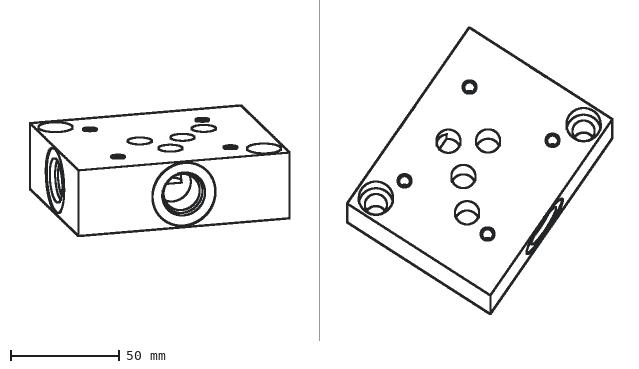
import cadquery as cq
import math

LENGTH_X = 79.5
LENGTH_Y = 101.6
HEIGHT = 31.7
MID_HEIGHT = HEIGHT / 2

MOUNT_X = 30.1
MOUNT_Y = 41.2
MOUNT_HOLE_DIAMETER = 10.3
COUNTERBORE_DIAMETER = 15.8
COUNTERBORE_DEPTH = 11.2

BOLT_RIGHT_X = 23.7
BOLT_PITCH_X = 46.0
BOLT_LEFT_X = BOLT_RIGHT_X - BOLT_PITCH_X
BOLT_PITCH_Y = 54.1
TAP_DIAMETER = 5.0
TAP_MOUTH_DIAMETER = 6.4
TAP_DEPTH = 15.2
DRILL_POINT_ANGLE = 118.0

FLOW_DIAMETER = 11.2
FLOW_DEPTH = MID_HEIGHT
PRESSURE_X = BOLT_RIGHT_X - 6.3
PRESSURE_Y = 0.0
WORK_X = BOLT_RIGHT_X - 21.4
WORK_Y = 10.3
TANK_X = BOLT_RIGHT_X - 32.5
TANK_Y = 23.8
FLOW_CENTRES = [
    (PRESSURE_X, PRESSURE_Y),
    (WORK_X, WORK_Y),
    (WORK_X, -WORK_Y),
    (TANK_X, TANK_Y),
]

SPOTFACE_DIAMETER = 30.3
SPOTFACE_DEPTH = 0.5
SEAT_MOUTH_DIAMETER = 20.5
SEAT_INNER_DIAMETER = 19.5
SEAT_END_DEPTH = 2.9
PORT_BORE_DIAMETER = 17.4
PORT_DEPTH = 18.5
PORT_A_Y = 5.6
PORT_B_X = 1.4
PORT_P_Y = PRESSURE_Y


def revolved_cutter(profile, origin, inward):
    """Revolve (radius, depth) points about the axis that runs inward from origin.

    The profile starts and ends on the axis.
    """
    sideways = cq.Vector(0, 0, 1) if inward.z == 0 else cq.Vector(1, 0, 0)
    profile_plane = cq.Plane(origin=origin, xDir=sideways, normal=sideways.cross(inward))
    return cq.Workplane(profile_plane).polyline(profile).close().revolve(360, (0, 0), (0, 1))


def tapped_hole(x, y):
    """Blind hole from the top face with a 45 degree mouth and a conical point."""
    radius = TAP_DIAMETER / 2
    mouth_radius = TAP_MOUTH_DIAMETER / 2
    point_length = radius / math.tan(math.radians(DRILL_POINT_ANGLE / 2))
    profile = [
        (0, 0),
        (mouth_radius, 0),
        (radius, mouth_radius - radius),
        (radius, TAP_DEPTH),
        (0, TAP_DEPTH + point_length),
    ]
    return revolved_cutter(profile, (x, y, HEIGHT), cq.Vector(0, 0, -1))


def side_port(x, y, inward):
    """Port at mid height, starting on a side face and running inward."""
    bore_radius = PORT_BORE_DIAMETER / 2
    seat_radius = SEAT_INNER_DIAMETER / 2
    step_end_depth = SEAT_END_DEPTH + seat_radius - bore_radius
    profile = [
        (0, 0),
        (SPOTFACE_DIAMETER / 2, 0),
        (SPOTFACE_DIAMETER / 2, SPOTFACE_DEPTH),
        (SEAT_MOUTH_DIAMETER / 2, SPOTFACE_DEPTH),
        (seat_radius, SEAT_END_DEPTH),
        (bore_radius, step_end_depth),
        (bore_radius, PORT_DEPTH),
        (0, PORT_DEPTH),
    ]
    return revolved_cutter(profile, (x, y, MID_HEIGHT), inward)


block = cq.Workplane("XY").box(LENGTH_X, LENGTH_Y, HEIGHT, centered=(True, True, False))

block = (
    block.faces(">Z").workplane(origin=(0, 0, HEIGHT))
    .pushPoints([(MOUNT_X, MOUNT_Y), (-MOUNT_X, -MOUNT_Y)])
    .cboreHole(MOUNT_HOLE_DIAMETER, COUNTERBORE_DIAMETER, COUNTERBORE_DEPTH)
)

block = (
    block.faces(">Z").workplane(origin=(0, 0, HEIGHT))
    .pushPoints(FLOW_CENTRES)
    .hole(FLOW_DIAMETER, FLOW_DEPTH)
)

for bolt_x in (BOLT_LEFT_X, BOLT_RIGHT_X):
    for bolt_y in (-BOLT_PITCH_Y / 2, BOLT_PITCH_Y / 2):
        block = block.cut(tapped_hole(bolt_x, bolt_y))

block = block.cut(side_port(-LENGTH_X / 2, PORT_A_Y, cq.Vector(1, 0, 0)))
block = block.cut(side_port(PORT_B_X, -LENGTH_Y / 2, cq.Vector(0, 1, 0)))
block = block.cut(side_port(LENGTH_X / 2, PORT_P_Y, cq.Vector(-1, 0, 0)))

result = block